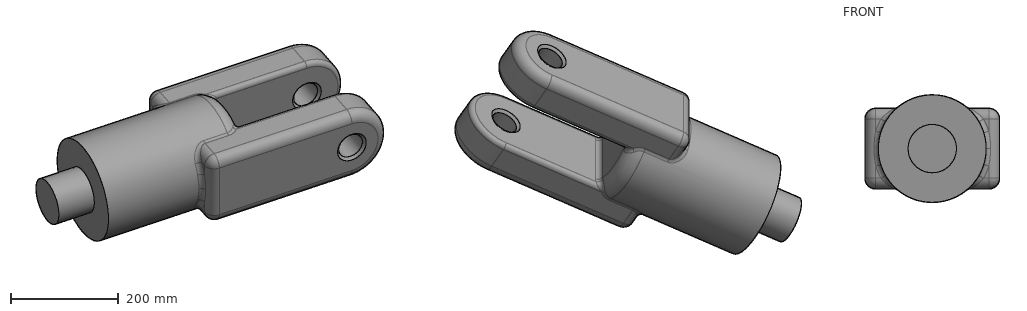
import cadquery as cq

total_length = 650.0
pin_length = 75.0
body_end = 375.0
arm_start = 275.0

pin_diameter = 90.0
body_diameter = 200.0
fork_width = 250.0
fork_gap = 100.0
arm_height = 150.0
hole_diameter = 50.0

body_end_radius = 30.0
arm_outer_radius = 20.0
arm_inner_radius = 10.0
joint_radius = 10.0
hole_chamfer = 5.0

seam_tolerance = 0.005

arm_thickness = (fork_width - fork_gap) / 2
arm_tip_radius = arm_height / 2
hole_y = total_length - arm_tip_radius


def shaft(diameter, start, end):
    """Solid cylinder along Y."""
    plane = cq.Workplane("XZ", origin=(0, start, 0))
    return plane.circle(diameter / 2).extrude(start - end)


def right_arm():
    """Fork arm on the +X side: round-ended, soft-edged plate."""
    blank = (
        cq.Workplane("YZ", origin=(fork_gap / 2, 0, 0))
        .moveTo(arm_start, -arm_tip_radius)
        .lineTo(hole_y, -arm_tip_radius)
        .threePointArc((total_length, 0), (hole_y, arm_tip_radius))
        .lineTo(arm_start, arm_tip_radius)
        .close()
        .extrude(arm_thickness)
    )
    outer_edges = blank.faces(">X").edges()
    end_edges = blank.faces("<Y").edges("|X")
    rounded = outer_edges.add(end_edges).fillet(arm_outer_radius)
    return rounded.faces("<X").edges().fillet(arm_inner_radius)


def drill_with_chamfers(arm):
    """Cross hole through an arm, with chamfered rims on both faces."""
    drill = (
        cq.Workplane("YZ")
        .center(hole_y, 0)
        .circle(hole_diameter / 2)
        .extrude(fork_width)
    )
    drilled = arm.cut(drill)
    rim_zone = cq.selectors.BoxSelector(
        (0, hole_y - hole_diameter, -hole_diameter),
        (fork_width, hole_y + hole_diameter, hole_diameter),
        boundingbox=True,
    )
    return drilled.edges(rim_zone).edges("%CIRCLE").chamfer(hole_chamfer)


def is_seam(edge, skins):
    """True for an edge that lies on every one of the given skins."""
    samples = [edge.positionAt(fraction).toTuple() for fraction in (0.2, 0.5, 0.8)]
    points = [cq.Vertex.makeVertex(*sample) for sample in samples]
    return all(skin.distance(point) < seam_tolerance for skin in skins for point in points)


def blend_seams(fork, body, arms):
    """Fillet the seams where the arms enter the body."""
    body_skin = body.shells().val()
    arms_skin = cq.Compound.makeCompound([arm.shells().val() for arm in arms])
    seams = [edge for edge in fork.edges().vals() if is_seam(edge, (body_skin, arms_skin))]
    return fork.newObject(seams).fillet(joint_radius)


body = shaft(body_diameter, pin_length, body_end).faces(">Y").edges().fillet(body_end_radius)
arm = drill_with_chamfers(right_arm())
mirrored_arm = arm.mirror("YZ")
fork = body.union(arm).union(mirrored_arm)
blended_fork = blend_seams(fork, body, (arm, mirrored_arm))
result = blended_fork.union(shaft(pin_diameter, 0, pin_length))